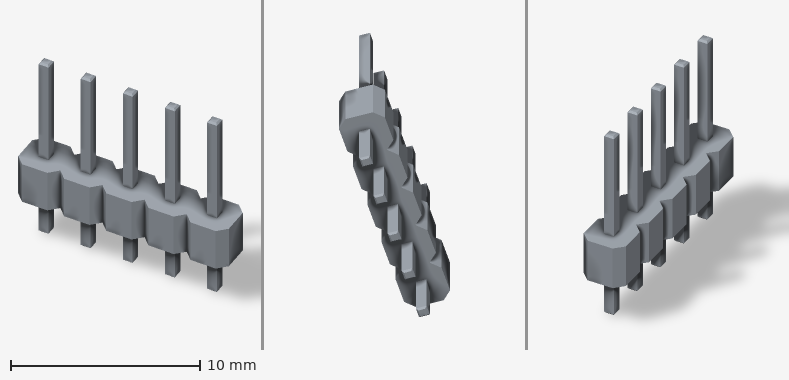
import cadquery as cq

pin_count = 5
pitch = 2.54
body_depth = pitch
body_height = 2.54
corner_cut = 0.51

pin_width = 0.6
pin_below = 2.54
pin_above = 6.36
tip_bevel = 0.1

pin_length = pin_below + body_height + pin_above
pin_positions = [(i - (pin_count - 1) / 2) * pitch for i in range(pin_count)]

def body_segment(x):
    """One octagonal housing cell; neighbouring cells meet face to face."""
    return (
        cq.Workplane("XY")
        .center(x, 0)
        .rect(pitch, body_depth)
        .extrude(body_height)
        .edges("|Z")
        .chamfer(corner_cut)
    )

def pin(x):
    """One square pin through the body with both tips bevelled."""
    return (
        cq.Workplane("XY", origin=(x, 0, -pin_below))
        .rect(pin_width, pin_width)
        .extrude(pin_length)
        .faces("<Z or >Z")
        .chamfer(tip_bevel)
    )

result = cq.Workplane("XY")
for x in pin_positions:
    result = result.union(body_segment(x)).union(pin(x))
result = result.clean()